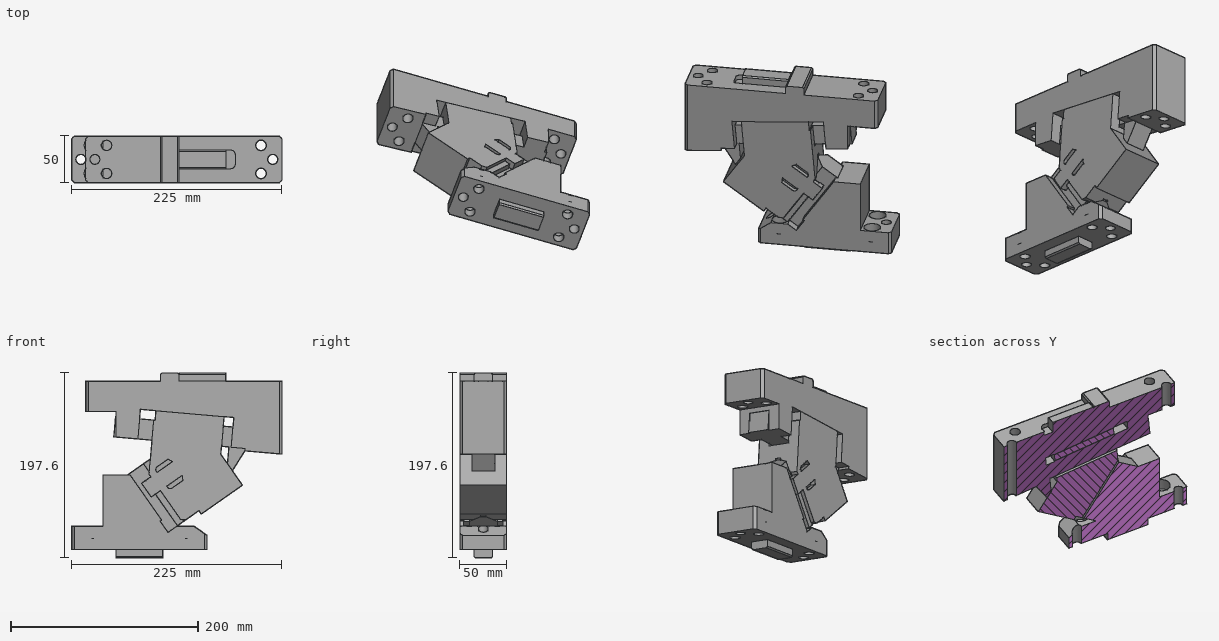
import cadquery as cq
import math


width = 50
half_width = width / 2
corner_chamfer = 3
key_width = 20
key_height = 8.8
key_length = 50
key_chamfer = 1.5
pin_hole = 10.5
bolt_hole = 11
bolt_head = 18
pin_inset = 10
bolt_inset = 22.5
bolt_y = 15

base_length = 145
base_plate = 25
base_top = 80
tower_x = 33.5
bevel_x = 131
base_key_x = 47.5
bolt_head_depth = 13

slope_angle = 55
slope_top_x = 62.4
guide_start = -1.4
slope_end = 73.8
relief_start = 59.2
relief_depth = 2
guide_half = 15
guide_shoulder = 18.6
ridge_half = 3
roof_pitch = 35
ridge_height = guide_shoulder + (guide_half - ridge_half) * math.tan(math.radians(roof_pitch))

holder_left = 15
holder_right = 225
holder_top = 180
arm_bottom = 147.5
post_left = 47.4
stop_left = 95
stop_right = 115
keyway_end = 175
keyway_depth = 5
keyway_radius = 5

channel_tilt = 5
channel_x = 73.7
channel_z = 149.8
channel_length = 100
post_depth = 31.8
outer_depth = 34.5
step_along = 115
bar_half = 12.25
bar_start = -26
bar_top = 10
hook_start = 97.5
hook_tip = 103.6

slider_left = 15
slider_right = 89.8
head_step = 1.4
slider_bottom = 17
slider_back = 92.2
nose_height = 38.3
nose_length = 4.4
window_clearance = 2.5
groove_clearance = 1.8
channel_start = -5
skirt_half = 18
claw_start = 14.6
claw_width = 18
claw_bottom = 5
claw_half = 17
lip_bottom = 10.4
lip_half = 21
lip_setback = 2
head_clearance = 24
head_clearance_top = 32
pocket_width = 27.8
pocket_bottom = 25.2
pocket_top = 45.4
pocket_depth = 6
pocket_corner = 5

slope = math.radians(slope_angle)
tilt = math.radians(channel_tilt)

down_slope = (math.cos(slope), 0, -math.sin(slope))
slope_plane = cq.Plane((slope_top_x, 0, base_top), down_slope, (0, -1, 0))
channel_plane = cq.Plane((channel_x, 0, channel_z), (math.cos(tilt), 0, -math.sin(tilt)), (0, -1, 0))
section_plane = cq.Plane(slope_plane.origin, (0, 1, 0), down_slope)


def on_slope(along, height):
    """X, Z of a point given down and square to the slope."""
    x = slope_top_x + along * math.cos(slope) + height * math.sin(slope)
    z = base_top - along * math.sin(slope) + height * math.cos(slope)
    return x, z


def in_channel(along, depth):
    """X, Z of a point given along and below the channel roof."""
    x = channel_x + along * math.cos(tilt) - depth * math.sin(tilt)
    z = channel_z - along * math.sin(tilt) - depth * math.cos(tilt)
    return x, z


def height_at_x(x, depth):
    """Z at which the line parallel to the channel roof, at the given depth, crosses an X."""
    start_x, start_z = in_channel(0, depth)
    return start_z - (x - start_x) * math.tan(tilt)


def depth_at_height(along, height):
    """Channel depth at which a line square to the channel reaches a height above the slope."""
    x, z = in_channel(along, 0)
    roof_height = (x - slope_top_x) * math.sin(slope) + (z - base_top) * math.cos(slope)
    return (roof_height - height) / math.cos(slope - tilt)


def across(points, half):
    """Outline extruded symmetrically across the unit."""
    return cq.Workplane("XZ").polyline(points).close().extrude(half, both=True)


def plate_envelope(x_start, x_end, z_end):
    """Full-width block standing on Z = 0, with its four upright corners chamfered."""
    block = cq.Workplane("XY").box(x_end - x_start, width, z_end, centered=(False, True, False))
    return block.edges("|Z").chamfer(corner_chamfer).translate((x_start, 0, 0))


def key(x_start, z_start, chamfered_face, height):
    """Locating key with its two long outer edges chamfered."""
    block = cq.Workplane("XY").box(key_length, key_width, height, centered=(False, True, False))
    block = block.faces(chamfered_face).edges("|X").chamfer(key_chamfer)
    return block.translate((x_start, 0, z_start))


def upright_holes(positions, diameter, z_start, z_end):
    """Upright cylinders to cut away between two heights."""
    holes = cq.Workplane("XY").workplane(offset=z_start).pushPoints(positions)
    return holes.circle(diameter / 2).extrude(z_end - z_start)


def hole_positions(x_start, x_end):
    """Pin and bolt positions for a plate between two ends."""
    pins = [(x_start + pin_inset, 0), (x_end - pin_inset, 0)]
    bolt_xs = (x_start + bolt_inset, x_end - bolt_inset)
    bolts = [(x, side * bolt_y) for x in bolt_xs for side in (-1, 1)]
    return pins, bolts


def make_base():
    bevel_end = base_plate - (base_length - bevel_x) / math.tan(slope)
    slope_end_height = (base_plate - base_top + slope_end * math.sin(slope)) / math.cos(slope)
    profile = [
        (0, 0),
        (base_length, 0),
        (base_length, bevel_end),
        (bevel_x, base_plate),
        on_slope(slope_end, slope_end_height),
        on_slope(slope_end, -relief_depth),
        on_slope(relief_start, -relief_depth),
        on_slope(relief_start, 0),
        on_slope(0, 0),
        (tower_x, base_top),
        (tower_x, base_plate),
        (0, base_plate),
    ]
    body = across(profile, half_width).intersect(plate_envelope(0, base_length, base_top))

    roof = [
        (guide_half, -relief_depth),
        (guide_half, guide_shoulder),
        (ridge_half, ridge_height),
        (-ridge_half, ridge_height),
        (-guide_half, guide_shoulder),
        (-guide_half, -relief_depth),
    ]
    guide = cq.Workplane(section_plane).workplane(offset=guide_start).polyline(roof).close()
    body = body.union(guide.extrude(slope_end - guide_start))
    body = body.union(key(base_key_x, -key_height, "<Z", key_height))

    pins, bolts = hole_positions(0, base_length)
    body = body.cut(upright_holes(pins, pin_hole, 0, base_plate))
    body = body.cut(upright_holes(bolts, bolt_hole, 0, base_plate))
    return body.cut(upright_holes(bolts, bolt_head, base_plate - bolt_head_depth, base_plate))


def make_bar():
    """Inclined bar with the hook that reaches down to the back of the slider."""
    profile = [
        in_channel(bar_start, bar_top),
        in_channel(step_along, bar_top),
        in_channel(step_along, outer_depth),
        in_channel(hook_tip, depth_at_height(hook_tip, slider_back)),
        in_channel(hook_start, depth_at_height(hook_start, slider_back)),
        in_channel(hook_start, post_depth),
        in_channel(bar_start, post_depth),
    ]
    return across(profile, bar_half)


def make_holder():
    profile = [
        (holder_left, holder_top),
        (holder_right, holder_top),
        (holder_right, height_at_x(holder_right, outer_depth)),
        in_channel(step_along, outer_depth),
        in_channel(step_along, post_depth),
        in_channel(channel_length, post_depth),
        in_channel(channel_length, 0),
        in_channel(0, 0),
        in_channel(0, post_depth),
        (post_left, height_at_x(post_left, post_depth)),
        (post_left, arm_bottom),
        (holder_left, arm_bottom),
    ]
    body = across(profile, half_width)
    body = body.intersect(plate_envelope(holder_left, holder_right, holder_top))

    keyway_length = keyway_end - stop_right
    keyway = cq.Workplane("XY").box(keyway_length, key_width, keyway_depth, centered=(False, True, False))
    keyway = keyway.edges("|Z and >X").fillet(keyway_radius)
    body = body.cut(keyway.translate((stop_right, 0, holder_top - keyway_depth)))
    body = body.union(key(stop_right, holder_top - keyway_depth, ">Z", key_height + keyway_depth))

    stop = cq.Workplane("XY").box(stop_right - stop_left, width, key_height, centered=(False, True, False))
    stop = stop.faces(">Z").edges("|Y").chamfer(key_chamfer)
    body = body.union(stop.translate((stop_left, 0, holder_top)))

    pins, bolts = hole_positions(holder_left, holder_right)
    body = body.cut(upright_holes(pins, pin_hole, 0, holder_top))
    body = body.cut(upright_holes(bolts, bolt_hole, 0, holder_top))
    return body.union(make_bar())


def make_side_pocket(side):
    """Curved pocket ends left open on both sides of the claw, cut into one slider face."""
    middle = claw_start + claw_width / 2
    outer = middle - pocket_width / 2
    bulge = pocket_corner * (1 - math.sqrt(0.5))
    half = (
        cq.Workplane(slope_plane)
        .workplane(offset=side * half_width)
        .moveTo(claw_start, pocket_bottom)
        .lineTo(outer + pocket_corner / 2, pocket_bottom)
        .threePointArc((outer + bulge / 2, pocket_bottom + bulge), (outer, pocket_bottom + pocket_corner))
        .lineTo(outer, pocket_top - (claw_start - outer) / 2)
        .lineTo(claw_start, pocket_top)
        .close()
        .extrude(-side * pocket_depth)
    )
    middle_x, middle_z = on_slope(middle, 0)
    return half.union(half.mirror(section_plane.zDir, (middle_x, 0, middle_z)))


def make_lips():
    """Two strips that reach down along the sides of the guide behind the claw faces."""
    start = claw_start + lip_setback
    outline = [
        on_slope(start, lip_bottom),
        on_slope(slope_end, lip_bottom),
        on_slope(slope_end, guide_shoulder),
        on_slope(start, guide_shoulder),
    ]
    return across(outline, lip_half).cut(across(outline, guide_half))


def make_slider():
    claw_end = claw_start + claw_width
    profile = [
        in_channel(slider_left + head_step, 0),
        in_channel(slider_right, 0),
        in_channel(slider_right, depth_at_height(slider_right, slider_back)),
        on_slope(slope_end + nose_length, slider_back),
        on_slope(slope_end + nose_length, nose_height),
        on_slope(slope_end, nose_height),
        on_slope(slope_end, slider_bottom),
        on_slope(claw_end, slider_bottom),
        on_slope(claw_end, claw_bottom),
        on_slope(claw_start, claw_bottom),
        on_slope(claw_start, slider_bottom),
        in_channel(slider_left, depth_at_height(slider_left, slider_bottom)),
        in_channel(slider_left, bar_top),
        in_channel(slider_left + head_step, bar_top),
    ]
    body = across(profile, half_width)

    skirt_height = guide_shoulder - (skirt_half - guide_half) * math.tan(math.radians(roof_pitch))
    groove_top = ridge_height + groove_clearance
    half_channel = [
        (claw_half, 0),
        (claw_half, lip_bottom),
        (skirt_half, lip_bottom),
        (skirt_half, skirt_height),
        (ridge_half, ridge_height),
        (ridge_half, groove_top),
    ]
    channel = half_channel + [(-y, height) for y, height in reversed(half_channel)]
    cutter = cq.Workplane(section_plane).workplane(offset=channel_start).polyline(channel).close()
    body = body.cut(cutter.extrude(slope_end + nose_length - channel_start))

    window = cq.Workplane(channel_plane).center(0, -post_depth - window_clearance)
    window_height = post_depth + window_clearance - bar_top
    window = window.rect(channel_length, window_height, centered=False).extrude(bar_half, both=True)
    body = body.cut(window)

    for side in (-1, 1):
        body = body.cut(make_side_pocket(side))

    bolts = [(base_length - bolt_inset, side * bolt_y) for side in (-1, 1)]
    body = body.cut(upright_holes(bolts, head_clearance, base_plate, head_clearance_top))
    return body.union(make_lips())


base = make_base()
holder = make_holder()
slider = make_slider()

result = cq.Compound.makeCompound([base.solids().val(), slider.solids().val(), holder.solids().val()])